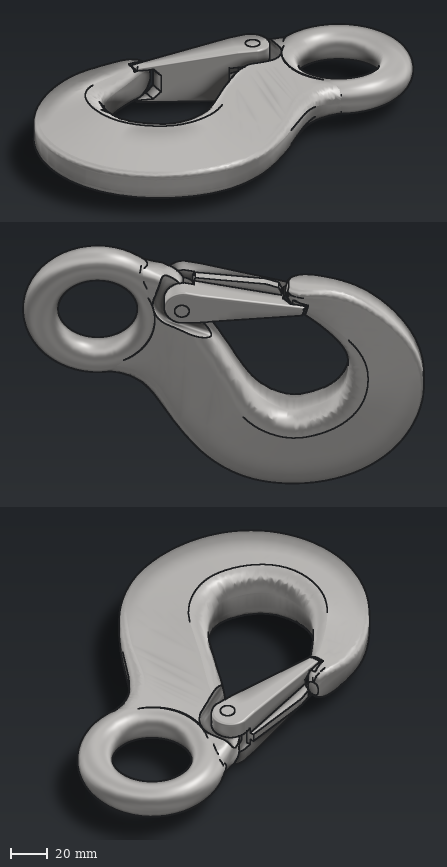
import cadquery as cq
import math


eye_hole_diameter = 43.0
eye_outer_radius = 40.6
eye_tube_radius = (eye_outer_radius - eye_hole_diameter / 2) / 2
eye_ring_radius = eye_outer_radius - eye_tube_radius

throat_center = (0, -113.0)
throat_radius = 28.8
right_back_center = (3.9, -113.0)
right_back_radius = 75.1
left_back_center = (11.8, -119.4)
left_back_radius = 67.2
bowl_half_height = 16.45
bowl_throat_round = (11.0, 11.0)
bowl_back_half_height = 8.2
bowl_back_round = (2.3, 4.0)
tip_back_half_height = 9.0

tongue_half_height = 5.0
tongue_radius = 7.7
recess_round = 3.5

tip_seat_half_height = 8.6

pin_diameter = 8.0
pivot = (-23.5, -40.5)

latch_half_height = 15.5
latch_tip_half_height = 10.7
latch_tip_y = -104.9
latch_angle = 14.3
latch_taper_start = 10.2
latch_length = 68.0
latch_edge_round = 1.5
latch_slot_half_height = 6.0
latch_web_x = -33.8
latch_notch_y = -43.4
latch_slot_floor_y = -56.7
tip_slot_half_height = 9.0
tip_slot_top_y = -92.4
tip_slot_chamfer = 4.0
rib_half_width = 2.5

clear = 90.8


def back_point(angle, back_center=left_back_center, back_radius=left_back_radius):
    """Point where a ray from the throat centre at this angle (degrees) meets a back arc."""
    ray = (math.cos(math.radians(angle)), math.sin(math.radians(angle)))
    offset = (throat_center[0] - back_center[0], throat_center[1] - back_center[1])
    along = offset[0] * ray[0] + offset[1] * ray[1]
    offset_squared = offset[0] ** 2 + offset[1] ** 2
    reach = -along + math.sqrt(along**2 - offset_squared + back_radius**2)
    return (throat_center[0] + reach * ray[0], throat_center[1] + reach * ray[1])


def throat_point(angle):
    """Point of the throat arc at this angle (degrees)."""
    return (
        throat_center[0] + throat_radius * math.cos(math.radians(angle)),
        throat_center[1] + throat_radius * math.sin(math.radians(angle)),
    )


def hook_section(inner, outer, inner_half, inner_round, outer_half, outer_round):
    """Upright wedge section from the inner to the outer point, with four rounded corners.

    Each half is half the height at that side. Each round is (width, height) of the corner.
    """
    width = math.dist(inner, outer)
    direction = ((outer[0] - inner[0]) / width, (outer[1] - inner[1]) / width)
    bulge = 1 - math.sqrt(0.5)

    def place(distance, z):
        return cq.Vector(inner[0] + direction[0] * distance, inner[1] + direction[1] * distance, z)

    def corner(distance, half, size, inward, side):
        """Arc from the end face to the broad face, as its start, middle and end."""
        return [
            place(distance, side * (half - size[1])),
            place(distance + inward * bulge * size[0], side * (half - bulge * size[1])),
            place(distance + inward * size[0], side * half),
        ]

    inner_top = corner(0, inner_half, inner_round, 1, 1)
    outer_top = corner(width, outer_half, outer_round, -1, 1)[::-1]
    outer_bottom = corner(width, outer_half, outer_round, -1, -1)
    inner_bottom = corner(0, inner_half, inner_round, 1, -1)[::-1]
    arcs = [inner_top, outer_top, outer_bottom, inner_bottom]
    edges = []
    for arc, following in zip(arcs, arcs[1:] + arcs[:1]):
        edges.append(cq.Edge.makeThreePointArc(*arc))
        edges.append(cq.Edge.makeLine(arc[2], following[0]))
    return cq.Wire.assembleEdges(edges)


def bowl_section(angle, back):
    return hook_section(
        throat_point(angle),
        back,
        bowl_half_height,
        bowl_throat_round,
        bowl_back_half_height,
        bowl_back_round,
    )


def make_hook_body():
    """Neck, shank, bowl and tip, lofted through sections from the eye to the tip."""
    neck = [
        hook_section((-38.1, -12.5), (36.3, -16.0), 8.2, (6.4, 6.4), 8.2, (6.4, 6.4)),
        hook_section((-37.2, -21.3), (35.5, -21.3), 9.5, (7.3, 7.3), 9.5, (9.0, 9.0)),
        hook_section((-34.7, -34.0), (35.2, -31.8), 11.0, (6.1, 6.1), 9.8, (9.0, 7.3)),
    ]
    shank = [
        hook_section((-21.5, -47.0), (42.5, -45.8), 12.3, (9.5, 9.0), 9.5, (9.5, 6.0)),
        hook_section((-8.2, -62.2), (54.5, -60.0), 13.8, (11.8, 9.5), 9.0, (6.8, 4.8)),
        hook_section((7.0, -78.8), (65.8, -74.7), 15.2, (11.8, 10.0), 8.6, (5.5, 4.3)),
        hook_section((22.7, -96.7), (74.7, -91.0), 16.1, (11.8, 10.7), 8.2, (3.5, 4.0)),
    ]
    right_bowl = [
        bowl_section(angle, back_point(angle, right_back_center, right_back_radius))
        for angle in (0, -30, -60)
    ]
    left_bowl = [
        bowl_section(-90, back_point(-90)),
        hook_section(throat_point(-120), back_point(-120), 14.8, (10.2, 9.5), 8.5, (3.2, 4.0)),
        hook_section((-25.6, -127.0), back_point(-155), 11.8, (7.3, 6.8), 8.9, (4.0, 4.3)),
    ]
    tip = [
        hook_section((-34.7, -109.0), back_point(180), 10.0, (5.0, 4.5), tip_back_half_height, (4.5, 4.5)),
        hook_section((-40.0, -98.0), (-51.0, -98.0), 9.0, (3.6, 3.6), tip_back_half_height, (3.6, 3.6)),
        hook_section((-43.0, -93.3), (-49.0, -93.3), 4.5, (2.7, 2.7), 4.5, (2.7, 2.7)),
    ]
    return cq.Workplane(cq.Solid.makeLoft(neck + shank + right_bowl + left_bowl + tip))


def make_eye():
    return cq.Workplane("XZ").center(eye_ring_radius, 0).circle(eye_tube_radius).revolve(
        360, (-eye_ring_radius, 0), (-eye_ring_radius, 1)
    )


def make_recess_cutter():
    """Upper recess volume, with its floor edge rounded."""
    return (
        cq.Workplane("XY", origin=(0, 0, tongue_half_height))
        .moveTo(-clear, -24.7)
        .lineTo(-22.5, -24.7)
        .threePointArc((-12.7, -29.3), (-9.0, -38.1))
        .lineTo(-6.8, -63.5)
        .lineTo(-clear, -63.5)
        .close()
        .extrude(clear)
        .faces("<Z")
        .edges()
        .fillet(recess_round)
    )


def make_pin_hole():
    return cq.Workplane("XY").center(*pivot).circle(pin_diameter / 2).extrude(clear, both=True)


def make_tip_seat_cutter():
    """Upper shallow seat in the hook tip, with clearance around the end of the latch."""
    return (
        cq.Workplane("XY", origin=(0, 0, tip_seat_half_height))
        .polyline([(-44.7, -95.3), (-44.7, -105.8), (-27.2, -107.0), (-27.2, -95.3)])
        .close()
        .extrude(clear)
    )


def make_hook():
    hook = make_hook_body()
    hook = hook.cut(cq.Workplane("XY").circle(eye_ring_radius).extrude(clear, both=True))
    hook = hook.union(make_eye())
    recess = make_recess_cutter()
    hook = hook.cut(recess).cut(recess.mirror("XY"))
    tongue = cq.Workplane("XY").center(*pivot).circle(tongue_radius).extrude(tongue_half_height, both=True)
    seat = make_tip_seat_cutter()
    hook = hook.cut(seat).cut(seat.mirror("XY"))
    return hook.union(tongue).cut(make_pin_hole())


def make_latch_body():
    """Latch outline, tapered in height along its arm and rounded along its front and rear edges."""
    outline = (
        cq.Workplane("XY")
        .moveTo(-35.6, -38.5)
        .threePointArc((-25.2, -30.2), (-15.0, -42.0))
        .lineTo(-37.0, latch_tip_y)
        .lineTo(-43.1, latch_tip_y)
        .close()
        .extrude(clear, both=True)
    )
    taper = (
        cq.Workplane("YZ")
        .moveTo(clear, latch_half_height)
        .lineTo(-latch_taper_start, latch_half_height)
        .lineTo(-latch_length, latch_tip_half_height)
        .lineTo(-latch_length, -latch_tip_half_height)
        .lineTo(-latch_taper_start, -latch_half_height)
        .lineTo(clear, -latch_half_height)
        .close()
        .extrude(clear, both=True)
        .rotate((0, 0, 0), (0, 0, 1), -latch_angle)
        .translate((*pivot, 0))
    )
    return outline.intersect(taper).edges("not |Z").fillet(latch_edge_round)


def make_rib():
    return (
        cq.Workplane("XY")
        .moveTo(-34.0, -42.7)
        .lineTo(-38.1, -42.7)
        .lineTo(-46.0, -81.0)
        .lineTo(-45.8, -88.5)
        .lineTo(-42.7, -91.2)
        .lineTo(-40.5, -91.2)
        .close()
        .extrude(rib_half_width, both=True)
    )


def make_latch():
    latch = make_latch_body().union(make_rib())
    slot = (
        cq.Workplane("XY")
        .moveTo(-clear, 0)
        .lineTo(-clear, latch_notch_y)
        .lineTo(latch_web_x, latch_notch_y)
        .lineTo(latch_web_x, latch_slot_floor_y)
        .lineTo(clear, latch_slot_floor_y)
        .lineTo(clear, 0)
        .close()
        .extrude(latch_slot_half_height, both=True)
    )
    tip_slot = (
        cq.Workplane("XY", origin=(0, tip_slot_top_y, 0))
        .rect(2 * clear, 2 * clear)
        .extrude(tip_slot_half_height, both=True)
        .edges(">Y and |X")
        .chamfer(tip_slot_chamfer)
        .translate((0, -clear, 0))
    )
    return latch.cut(slot).cut(tip_slot).cut(make_pin_hole())


def make_pin():
    return cq.Workplane("XY").center(*pivot).circle(pin_diameter / 2).extrude(latch_half_height, both=True)


hook = make_hook()
latch = make_latch()
pin = make_pin()
result = cq.Compound.makeCompound([hook.solids().val(), latch.solids().val(), pin.val()])